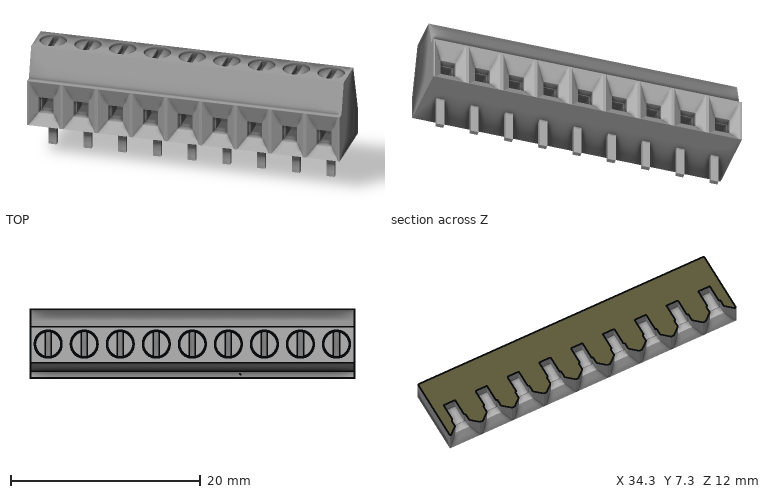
import cadquery as cq

length = 34.3
depth = 7.3
body_height = 8.5
step_height = 5.15
step_depth = 0.72
back_wall_height = 2.8
top_front = 1.65
back_slope_depth = 1.85
top_back = depth - back_slope_depth

terminal_count = 9
first_terminal_x = 1.9
last_terminal_margin = 1.92
last_terminal_x = length - last_terminal_margin
pitch = (last_terminal_x - first_terminal_x) / (terminal_count - 1)
terminal_y = 3.6
terminal_xs = [first_terminal_x + i * pitch for i in range(terminal_count)]

pin_width = 0.85
pin_thickness = 0.48
pin_length = 3.5

funnel_width = 3.45
funnel_top = 5.1
funnel_depth = 0.8
throat_width = 1.65
throat_height = 1.82
throat_z = 2.13
throat_depth = 0.82
clamp_width = 1.35
clamp_height = 1.65
clamp_depth = 2.05

well_diameter = 2.9
well_depth = 1.37
head_diameter = 2.7
head_recess = 0.2
slot_width = 0.65
slot_depth = 0.7


def make_housing():
    """Side profile extruded along the row."""
    return (
        cq.Workplane("YZ")
        .polyline([
            (0, 0),
            (depth, 0),
            (depth, back_wall_height),
            (top_back, body_height),
            (top_front, body_height),
            (step_depth, step_height),
            (0, step_height),
        ])
        .close()
        .extrude(length)
    )


def make_block(x, y_start, z_center, width, block_depth, height):
    """Box centred on x and z_center that runs back from y_start."""
    return (
        cq.Workplane("XY")
        .box(width, block_depth, height, centered=(True, False, True))
        .translate((x, y_start, z_center))
    )


def make_wire_entry(x):
    """Void of one wire entry, from the front face inwards."""
    funnel_middle = funnel_top / 2
    funnel = (
        cq.Workplane("XZ")
        .center(x, funnel_middle)
        .rect(funnel_width, funnel_top)
        .workplane(offset=-funnel_depth)
        .center(0, throat_z - funnel_middle)
        .rect(throat_width, throat_height)
        .loft(ruled=True)
    )
    throat = make_block(x, funnel_depth, throat_z, throat_width, throat_depth, throat_height)
    clamp_y = funnel_depth + throat_depth
    clamp = make_block(x, clamp_y, throat_z, clamp_width, clamp_depth, clamp_height)
    return funnel.union(throat).union(clamp)


def make_disc(x, diameter, top_z, thickness):
    """Upright disc on the axis of one screw, hanging down from top_z."""
    return (
        cq.Workplane("XY", origin=(x, terminal_y, top_z))
        .circle(diameter / 2)
        .extrude(-thickness)
    )


def make_screw_void(x):
    """Well around one screw head, plus the driver slot across the head."""
    head_top = body_height - head_recess
    well = make_disc(x, well_diameter, body_height, well_depth)
    head = make_disc(x, head_diameter, head_top, well_depth - head_recess)
    slot = (
        cq.Workplane("XY", origin=(x, terminal_y, head_top))
        .rect(slot_width, head_diameter)
        .extrude(-slot_depth)
    )
    return well.cut(head.cut(slot))


def make_pin(x):
    """Solder pin hanging below the housing."""
    return (
        cq.Workplane("XY", origin=(x, terminal_y, 0))
        .rect(pin_width, pin_thickness)
        .extrude(-pin_length)
    )


result = make_housing()
for terminal_x in terminal_xs:
    result = result.cut(make_wire_entry(terminal_x))
    result = result.cut(make_screw_void(terminal_x))
    result = result.union(make_pin(terminal_x))